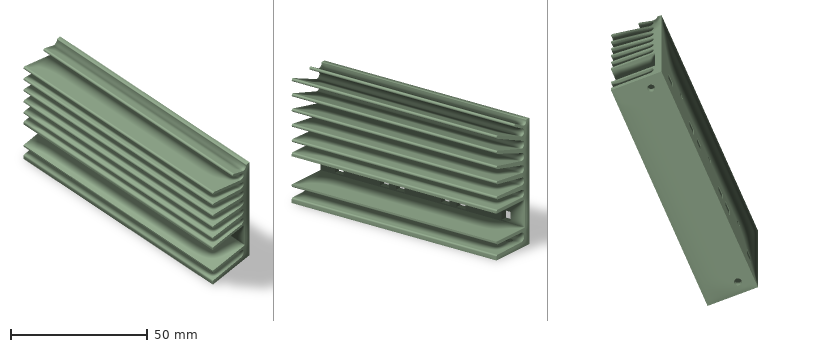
import cadquery as cq
import math

LENGTH = 94.0
DEPTH = 20.0
HEIGHT = 50.4

TIP_RADIUS = 0.6
GAP_RADIUS = 1.5
GAP_FLOOR = 3.1
TILTED_FINS = 5
TOP_TIP_Z = 48.7
TIP_PITCH = 6.0
TOP_GAP_Z = 45.7
BOTTOM_GAP_Z = 21.4

SHORT_FIN_REACH = 9.2
GROOVE_DEPTH = 3.3
GROOVE_Z = 49.5
PLATE_CORNER_RADIUS = 0.3
PLATE_TOP = 50.0
PLATE_TOP_THICKNESS = 1.8

CHANNEL_FLOOR = 2.5
CHANNEL_BOTTOM = 7.4
CHANNEL_TOP = 18.5

FOOT_GAP_RADIUS = 1.9
FOOT_GAP_Z = 4.2
LOWER_FIN_UNDERSIDE = 6.2
FOOT_TIP_TOP = 2.1

HOLE_DIAMETER = 2.4
HOLE_Z = 17.2
HOLE_PITCH = 27.9
WINDOW_SIZE = 4.0
WINDOW_Z = 10.0
WINDOW_OFFSET = 10.3
FOOT_HOLE_DIAMETER = 2.8
FOOT_HOLE_X = 42.2
FOOT_HOLE_DEPTH = 6.0

TIP_Y = -(DEPTH - TIP_RADIUS)


def tip(z):
    """Fin tip circle: centre Y, centre Z, radius, turn direction (1 is counterclockwise in YZ)."""
    return (TIP_Y, z, TIP_RADIUS, -1)


def gap(z, radius=GAP_RADIUS):
    """Gap end circle touching the plate at the gap floor."""
    return (-(GAP_FLOOR + radius), z, radius, 1)


def tangent(first, second):
    """Ends of the crossing tangent that leaves one circle and joins the next."""
    y1, z1, r1, turn = first
    y2, z2, r2, _ = second
    heading = math.atan2(z2 - z1, y2 - y1)
    heading += turn * math.asin((r1 + r2) / math.hypot(y2 - y1, z2 - z1))
    side_y = turn * math.sin(heading)
    side_z = -turn * math.cos(heading)
    return (y1 + r1 * side_y, z1 + r1 * side_z), (y2 - r2 * side_y, z2 - r2 * side_z)


def arc_to(outline, circle, start, end):
    """Continue the outline around a circle in its turn direction."""
    y, z, radius, turn = circle
    begin = math.atan2(start[1] - z, start[0] - y)
    sweep = turn * (math.atan2(end[1] - z, end[0] - y) - begin) % (2 * math.pi)
    middle = begin + turn * sweep / 2
    halfway = (y + radius * math.cos(middle), z + radius * math.sin(middle))
    return outline.threePointArc(halfway, end)


def follow(outline, circles, start, end):
    """Weave around circles of alternating turn, joining them with tangent lines."""
    entry = start
    for circle, following in zip(circles, circles[1:]):
        leave, next_entry = tangent(circle, following)
        outline = arc_to(outline, circle, entry, leave).lineTo(*next_entry)
        entry = next_entry
    return arc_to(outline, circles[-1], entry, end)


def foot_circles():
    return [
        tip(FOOT_TIP_TOP - TIP_RADIUS),
        gap(FOOT_GAP_Z, FOOT_GAP_RADIUS),
        tip(LOWER_FIN_UNDERSIDE + TIP_RADIUS),
    ]


def upper_circles():
    gap_pitch = (TOP_GAP_Z - BOTTOM_GAP_Z) / TILTED_FINS
    circles = [tip(BOTTOM_GAP_Z - GAP_RADIUS - TIP_RADIUS)]
    for i in range(TILTED_FINS):
        circles.append(gap(BOTTOM_GAP_Z + i * gap_pitch))
        circles.append(tip(TOP_TIP_Z - (TILTED_FINS - 1 - i) * TIP_PITCH))
    circles.append(gap(TOP_GAP_Z))
    circles.append((-(SHORT_FIN_REACH - TIP_RADIUS), HEIGHT - TIP_RADIUS, TIP_RADIUS, -1))
    circles.append((-GROOVE_DEPTH, GROOVE_Z, GAP_RADIUS, 1))
    corner_y = -(PLATE_TOP_THICKNESS - PLATE_CORNER_RADIUS)
    circles.append((corner_y, PLATE_TOP - PLATE_CORNER_RADIUS, PLATE_CORNER_RADIUS, -1))
    return circles


def extrusion():
    foot = foot_circles()
    upper = upper_circles()
    foot_start = (-DEPTH, foot[0][1])
    lower_fin_end = (-DEPTH, foot[-1][1])
    flat_fin_start = (-DEPTH, upper[0][1])
    plate_end = (upper[-1][0], PLATE_TOP)

    outline = cq.Workplane("YZ").moveTo(0, 0).lineTo(-DEPTH, 0).lineTo(*foot_start)
    outline = follow(outline, foot, foot_start, lower_fin_end)
    outline = outline.lineTo(-DEPTH, CHANNEL_BOTTOM).lineTo(-CHANNEL_FLOOR, CHANNEL_BOTTOM)
    outline = outline.lineTo(-CHANNEL_FLOOR, CHANNEL_TOP).lineTo(-DEPTH, CHANNEL_TOP)
    outline = outline.lineTo(*flat_fin_start)
    outline = follow(outline, upper, flat_fin_start, plate_end)
    return outline.lineTo(0, PLATE_TOP).close().extrude(LENGTH / 2, both=True)


def channel_openings():
    """Round holes, each with a square window below it on either side."""
    hole_xs = [-HOLE_PITCH, 0, HOLE_PITCH]
    window_xs = [x + side * WINDOW_OFFSET for x in hole_xs for side in (-1, 1)]
    holes = cq.Workplane("XZ").pushPoints([(x, HOLE_Z) for x in hole_xs]).circle(HOLE_DIAMETER / 2)
    windows = cq.Workplane("XZ").pushPoints([(x, WINDOW_Z) for x in window_xs])
    windows = windows.rect(WINDOW_SIZE, WINDOW_SIZE)
    return holes.extrude(CHANNEL_FLOOR).union(windows.extrude(CHANNEL_FLOOR))


def foot_holes():
    centres = [(-FOOT_HOLE_X, -FOOT_HOLE_DEPTH), (FOOT_HOLE_X, -FOOT_HOLE_DEPTH)]
    return cq.Workplane("XY").pushPoints(centres).circle(FOOT_HOLE_DIAMETER / 2).extrude(FOOT_GAP_Z)


result = extrusion().cut(channel_openings()).cut(foot_holes())